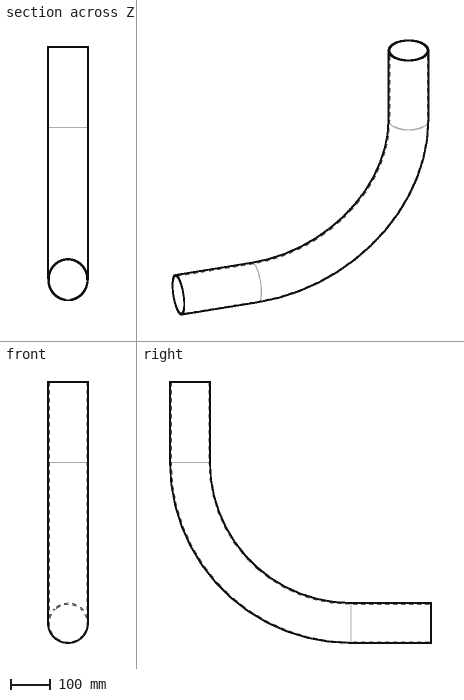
import cadquery as cq
import math

overall_length = 660.5
outer_diameter = 102.0
inner_diameter = 96.0
leg_length = 203.5

bend_radius = overall_length - leg_length - outer_diameter / 2

bend_middle = -bend_radius * math.cos(math.radians(45))
centreline = (
    cq.Workplane("YZ")
    .moveTo(-bend_radius, leg_length)
    .lineTo(-bend_radius, 0)
    .threePointArc((bend_middle, bend_middle), (0, -bend_radius))
    .lineTo(leg_length, -bend_radius)
)

pipe_section = (
    cq.Workplane("XY", origin=(0, -bend_radius, leg_length))
    .circle(outer_diameter / 2)
    .circle(inner_diameter / 2)
)

result = pipe_section.sweep(centreline)